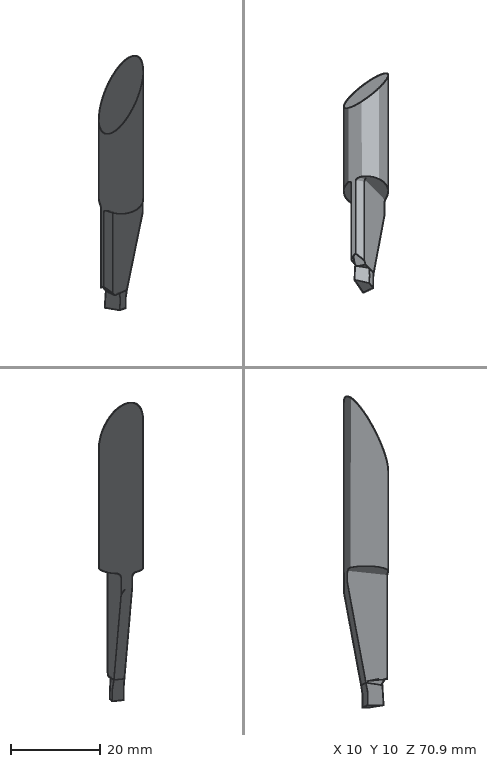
import cadquery as cq
import math

length = 70.9
shank_radius = 5.0
shank_bottom = 31.05
top_angle = 30.0

blade_left = -0.7
blade_right = 1.88
blade_root_radius = 1.0
relief_start = (-0.7, -6.1)
relief_mid = (1.88, -3.5)
relief_end = (3.0, -1.9)
back_taper_top = 27.95
back_tip_y = 0.35

tip_top = 5.1
seat_left_z = 6.5
seat_slope_x = 1.0
seat_slope_y = -0.2
seat_apex_x = 0.6
seat_apex_z = 7.65
wall_slope_x = 0.56
wall_slope_y = -1.6

tip_front_y = -4.0
tip_back_y = -0.1
tip_nose_y = -4.3
tip_nose_z = 0.5
tip_neck_z = 3.05
tip_widening_z = 2.7
tip_right = 2.05
clearance_slope = 1.1
rake_depth = 0.4

reach = 14.2


def side_prism(points):
    """Prism along X from a (y, z) outline, centred on X = 0."""
    return cq.Workplane("YZ").polyline(points).close().extrude(reach, both=True)


def front_prism(points):
    """Prism along Y from an (x, z) outline, centred on Y = 0."""
    return cq.Workplane("XZ").polyline(points).close().extrude(reach, both=True)


def half_space(point, normal):
    """Large block whose near face passes through a point and faces against the normal."""
    plane = cq.Plane(origin=point, normal=normal)
    return cq.Workplane(plane).rect(2 * reach, 2 * reach).extrude(reach)


def rake_space():
    """Space left of the leaning left face of the tip and its seat."""
    lean = rake_depth / (tip_back_y - tip_front_y)
    front_x = blade_left + lean * (tip_back_y + reach)
    outline = [(-reach, -reach), (front_x, -reach), (blade_left, tip_back_y), (-reach, tip_back_y)]
    return cq.Workplane("XY").polyline(outline).close().extrude(reach)


def make_shank():
    slant_drop = 2 * shank_radius / math.tan(math.radians(top_angle))
    outline = [
        (-shank_radius, tip_top),
        (shank_radius, tip_top),
        (shank_radius, length),
        (-shank_radius, length - slant_drop),
    ]
    cylinder = cq.Workplane("XY").circle(shank_radius).extrude(length)
    return cylinder.intersect(side_prism(outline))


def left_of_blade():
    """Space left of the blade, its upper edge rounded for the root fillet."""
    return (
        cq.Workplane("XY")
        .box(reach + blade_left, 2 * reach, shank_bottom, centered=(False, True, False))
        .translate((-reach, 0, 0))
        .edges(">X and >Z")
        .fillet(blade_root_radius)
    )


def right_of_blade():
    """Space right of the blade, its upper edge rounded for the root fillet."""
    return (
        cq.Workplane("XY")
        .box(reach - blade_right, 2 * reach, shank_bottom, centered=(False, True, False))
        .translate((blade_right, 0, 0))
        .edges("<X and >Z")
        .fillet(blade_root_radius)
    )


def relief_in_front_of_blade():
    """Space in front of the blade's curved relief, rounded like the sides at the top."""
    return (
        cq.Workplane("XY")
        .moveTo(*relief_start)
        .threePointArc(relief_mid, relief_end)
        .lineTo(relief_end[0], -reach)
        .lineTo(relief_start[0], -reach)
        .close()
        .extrude(shank_bottom)
        .faces(">Z")
        .edges("%CIRCLE")
        .fillet(blade_root_radius)
    )


def back_taper():
    """Space behind the tapering back of the blade."""
    return side_prism([
        (shank_radius, back_taper_top),
        (back_tip_y, tip_top),
        (back_tip_y, 0),
        (reach, 0),
        (reach, back_taper_top),
    ])


def seat_space():
    """Space cleared below the left facet and the sloping wall, and left of the rake face."""
    left_corner = (blade_left, -shank_radius, seat_left_z)
    apex = (seat_apex_x, -shank_radius, seat_apex_z)
    below_facet = half_space(left_corner, (seat_slope_x, seat_slope_y, -1))
    below_wall = half_space(apex, (wall_slope_x, wall_slope_y, -1))
    return below_facet.intersect(below_wall.union(rake_space()))


def clearance_space():
    """Space in front of the tip's front face, which falls back behind its left edge."""
    left_edge_x = blade_left + rake_depth
    edge_lean = (tip_nose_y - tip_front_y) / (tip_top - tip_nose_z)
    normal = (clearance_slope, -1, -edge_lean)
    return half_space((left_edge_x, tip_front_y, tip_top), normal)


def make_holder():
    holder = make_shank()
    for space in (
        left_of_blade(),
        right_of_blade(),
        relief_in_front_of_blade(),
        back_taper(),
        seat_space(),
    ):
        holder = holder.cut(space)
    return holder.solids()


def make_cutting_tip():
    side = side_prism([
        (back_tip_y, tip_top),
        (tip_back_y, tip_neck_z),
        (tip_back_y, 0),
        (tip_nose_y, tip_nose_z),
        (tip_front_y, tip_top),
    ])
    front = front_prism([
        (blade_left, tip_top),
        (blade_left, 0),
        (tip_right, 0),
        (tip_right, tip_widening_z),
        (blade_right, tip_top),
    ])
    return side.intersect(front).cut(rake_space()).cut(clearance_space()).solids()


holder = make_holder()
cutting_tip = make_cutting_tip()
result = cq.Compound.makeCompound([holder.val(), cutting_tip.val()])